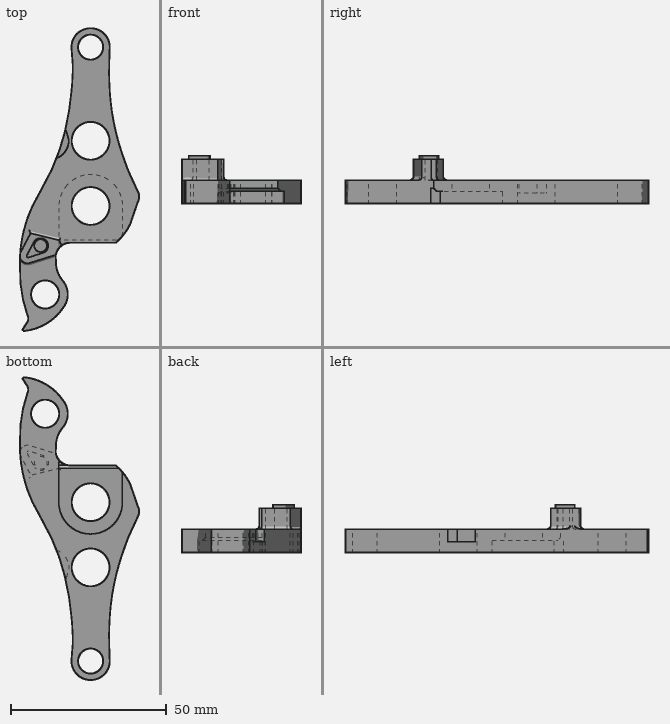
import cadquery as cq
import math

plate_thickness = 7.6
post_top = 14.3
total_height = 15.5

large_hole_diameter = 12.1
upper_hole_y = 21.0
eye_y = 51.1
eye_radius = 6.1
eye_hole_diameter = 8.0
eye_blend_y = eye_y - 1
arm_hole_center = (-14.6, -28.5)
arm_hole_diameter = 9.0

recess_radius = 10.2
recess_depth = 4.0
recess_edge_chamfer = 1.0
straight_edge_y = -11.9

notch_wall_x = -7.0
notch_outer_x = -14.6
notch_wall_top_x = -7.9
notch_wall_top_y = 24.3
notch_arc_start_y = 21.2
notch_arc_middle = (-7.9, 17.9)
notch_arc_end = (-10.8, 15.4)
notch_depth = 4.1

post_corners = [(-19.3, -8.8), (-10.1, -11.0), (-9.0, -13.3), (-10.8, -15.6), (-25.2, -20.1)]
post_corner_radius = 2.4
post_base_fillet = 1.1
slab_size = 194.9

rim_center = (-16.1, -12.8)
rim_radius = 2.4
rim_tip_center = (-20.1, -16.1)
rim_tip_radius = 0.5
post_hole_diameter = 4.1


def plate_outline():
    return (
        cq.Workplane("XY")
        .moveTo(-eye_radius, eye_blend_y)
        .threePointArc((0, eye_y + eye_radius), (eye_radius, eye_blend_y))
        .spline([(5.9, 42.9), (6.7, 31.1), (9.5, 18.8), (15.2, 4.7)], includeCurrent=True)
        .threePointArc((15.64, 2.9), (15.2, 1.3))
        .lineTo(12.8, -5.8)
        .threePointArc((10.8, -9.0), (8.1, straight_edge_y))
        .lineTo(-6.4, straight_edge_y)
        .threePointArc((-10.2, -13.6), (-11.1, -17.3))
        .threePointArc((-10.6, -21.05), (-9.0, -24.0))
        .threePointArc((-7.3, -28.2), (-8.7, -32.5))
        .threePointArc((-14.1, -37.8), (-21.4, -40.2))
        .lineTo(-21.9, -39.8)
        .lineTo(-20.4, -37.3)
        .threePointArc((-20.1, -36.3), (-20.4, -35.1))
        .threePointArc((-22.2, -27.8), (-22.75, -19.7))
        .threePointArc((-21.0, -5.8), (-16.6, 4.0))
        .lineTo(-12.5, 11.8)
        .spline([(-8.3, 24.0), (-6.0, 38.1), (-5.75, 42.9), (-eye_radius, eye_blend_y)], includeCurrent=True)
        .close()
    )


def plate_with_post():
    """Fillet the post on an oversized slab, then trim both to the plate outline."""
    slab = cq.Workplane("XY").box(slab_size, slab_size, plate_thickness, centered=(True, True, False))
    post = (
        cq.Workplane("XY")
        .polyline(post_corners)
        .close()
        .extrude(post_top)
        .edges(cq.selectors.NearestToPointSelector((*post_corners[-1], post_top / 2)))
        .fillet(post_corner_radius)
    )
    joint_reach = slab_size / 4
    joint = cq.selectors.BoxSelector(
        (-joint_reach, -joint_reach, plate_thickness - post_base_fillet),
        (joint_reach, joint_reach, plate_thickness + post_base_fillet),
    )
    filleted = slab.union(post).edges(joint).fillet(post_base_fillet)
    return filleted.intersect(plate_outline().extrude(post_top))


def teardrop_rim():
    """Two circles joined by their outer tangent lines."""
    dx = rim_tip_center[0] - rim_center[0]
    dy = rim_tip_center[1] - rim_center[1]
    axis_angle = math.atan2(dy, dx)
    spread = math.acos((rim_radius - rim_tip_radius) / math.hypot(dx, dy))

    def on_circle(center, radius, angle):
        return (center[0] + radius * math.cos(angle), center[1] + radius * math.sin(angle))

    return (
        cq.Workplane("XY", origin=(0, 0, plate_thickness))
        .moveTo(*on_circle(rim_center, rim_radius, axis_angle + spread))
        .threePointArc(
            on_circle(rim_center, rim_radius, axis_angle + math.pi),
            on_circle(rim_center, rim_radius, axis_angle - spread),
        )
        .lineTo(*on_circle(rim_tip_center, rim_tip_radius, axis_angle - spread))
        .threePointArc(
            on_circle(rim_tip_center, rim_tip_radius, axis_angle),
            on_circle(rim_tip_center, rim_tip_radius, axis_angle + spread),
        )
        .close()
        .extrude(total_height - plate_thickness)
    )


def hole(center, diameter, bottom=0.0):
    return (
        cq.Workplane("XY", origin=(0, 0, bottom))
        .center(*center)
        .circle(diameter / 2)
        .extrude(total_height - bottom)
    )


def edge_notch():
    return (
        cq.Workplane("XY", origin=(0, 0, plate_thickness - notch_depth))
        .moveTo(notch_outer_x, notch_wall_top_y)
        .lineTo(notch_wall_top_x, notch_wall_top_y)
        .lineTo(notch_wall_x, notch_arc_start_y)
        .threePointArc(notch_arc_middle, notch_arc_end)
        .lineTo(notch_outer_x, notch_arc_end[1])
        .close()
        .extrude(notch_depth)
    )


def underside_recess():
    """U-shaped recess with a chamfer where its ceiling meets the straight edge."""
    recess = cq.Workplane("XY").circle(recess_radius).extrude(recess_depth)
    channel_length = recess_edge_chamfer - straight_edge_y
    channel = (
        cq.Workplane("XY")
        .center(0, -channel_length / 2)
        .rect(2 * recess_radius, channel_length)
        .extrude(recess_depth)
    )
    chamfer = (
        cq.Workplane("YZ", origin=(-recess_radius, 0, 0))
        .moveTo(straight_edge_y + recess_edge_chamfer, recess_depth)
        .lineTo(straight_edge_y, recess_depth + recess_edge_chamfer)
        .lineTo(straight_edge_y - recess_edge_chamfer, recess_depth + recess_edge_chamfer)
        .lineTo(straight_edge_y - recess_edge_chamfer, recess_depth)
        .close()
        .extrude(2 * recess_radius)
    )
    return recess.union(channel).union(chamfer)


result = plate_with_post().union(teardrop_rim())
for center, diameter in (
    ((0, 0), large_hole_diameter),
    ((0, upper_hole_y), large_hole_diameter),
    ((0, eye_y), eye_hole_diameter),
    (arm_hole_center, arm_hole_diameter),
):
    result = result.cut(hole(center, diameter))

result = result.cut(hole(rim_center, post_hole_diameter, plate_thickness))
result = result.cut(edge_notch())
result = result.cut(underside_recess())